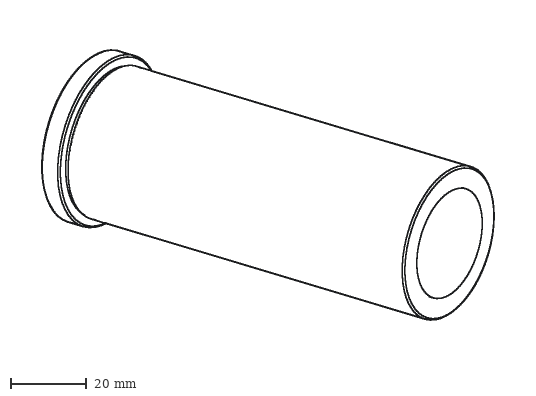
import cadquery as cq

total_length = 115.0
flange_diameter = 47.0
flange_width = 6.0
body_diameter = 42.0
bore_diameter = 30.0
relief_width = 1.0
relief_depth = 0.4
edge_chamfer = 0.52


def cylinder(diameter, start, end):
    """Solid cylinder on the X axis between two X positions."""
    return cq.Workplane("YZ", origin=(start, 0, 0)).circle(diameter / 2).extrude(end - start)


relief_end = flange_width + relief_width

flange = cylinder(flange_diameter, 0, flange_width).edges().chamfer(edge_chamfer)
relief = cylinder(body_diameter - 2 * relief_depth, flange_width, relief_end)
body = cylinder(body_diameter, relief_end, total_length).faces(">X").edges().chamfer(edge_chamfer)
bore = cylinder(bore_diameter, 0, total_length)

result = flange.union(relief).union(body).cut(bore)